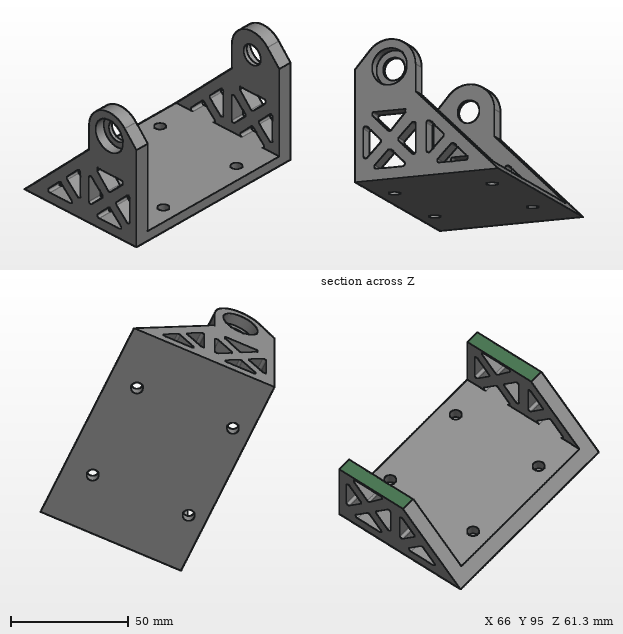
import cadquery as cq
import math

length = 66.0
width = 95.0
floor_thickness = 5.0
cheek_thickness = 7.0

lug_radius = 12.0
pivot_x = length - 16.0
pivot_z = 49.29
lug_left_x = pivot_x - lug_radius
shoulder_z = pivot_z - lug_radius
pivot_bore_diameter = 10.0
pivot_counterbore_diameter = 16.1
pivot_counterbore_depth = 5.0

mount_hole_diameter = 5.15
mount_hole_spacing = 45.0
mount_center_x = (floor_thickness + length) / 2

rib_width = 5.0
frame_margin = 4.0
window_fillet = 1.0
cross_half = 12.0
cross_x = length - frame_margin - cross_half
cross_z = floor_thickness + cross_half
rib_offset = rib_width / math.sqrt(2)
window_height = cross_half - rib_offset
front_window_shift = 2 * cross_half + rib_width
top_window_rise = 1.0
top_window_front_reach = 7.2
top_window_front_height = 1.5


def side_profile():
    """Bracket outline in the XZ plane, extruded across the full width."""
    tangent_angle = math.acos(lug_radius / (length - pivot_x))
    tangent_point = (
        pivot_x + lug_radius * math.cos(tangent_angle),
        pivot_z + lug_radius * math.sin(tangent_angle),
    )
    return (
        cq.Workplane("XZ", origin=(0, width / 2, 0))
        .moveTo(0, 0)
        .lineTo(length, 0)
        .lineTo(length, pivot_z)
        .lineTo(*tangent_point)
        .threePointArc((pivot_x, pivot_z + lug_radius), (lug_left_x, pivot_z))
        .lineTo(lug_left_x, shoulder_z)
        .close()
        .extrude(width)
    )


def space_between_cheeks():
    """Everything above the floor and between the two cheeks."""
    return cq.Workplane("XY", origin=(0, 0, floor_thickness)).rect(
        2 * length, width - 2 * cheek_thickness
    ).extrude(pivot_z + lug_radius)


def window_prism(points, rounded_edges="|Y"):
    """Polygonal cutter running through both cheeks, rounded on the selected edges."""
    return (
        cq.Workplane("XZ", origin=(0, width / 2, 0))
        .polyline(points)
        .close()
        .extrude(width)
        .edges(rounded_edges)
        .fillet(window_fillet)
    )


def side_window(base_x, direction):
    """Triangle with a vertical base at base_x; direction (+1 or -1) is where its tip points along X."""
    return window_prism(
        [
            (base_x, cross_z - window_height),
            (base_x, cross_z + window_height),
            (base_x + direction * window_height, cross_z),
        ]
    )


def bottom_window(center_x):
    """Triangle standing on the floor with its tip upward."""
    return window_prism(
        [
            (center_x - window_height, floor_thickness),
            (center_x + window_height, floor_thickness),
            (center_x, floor_thickness + window_height),
        ]
    )


def top_window():
    """Taller triangle with its tip downward; its front corner is cut off vertically and left sharp."""
    top_z = cross_z + cross_half + top_window_rise
    tip_z = cross_z + rib_offset
    half_base = top_z - tip_z
    front_x = cross_x - top_window_front_reach
    front_z = top_z - top_window_front_height
    return window_prism(
        [
            (front_x, front_z),
            (front_x, top_z),
            (cross_x + half_base, top_z),
            (cross_x, tip_z),
        ],
        "|Y and (not <X)",
    )


def truss_windows():
    rear_x = cross_x + cross_half
    return [
        side_window(cross_x - cross_half, 1),
        side_window(rear_x, -1),
        side_window(rear_x - front_window_shift, -1),
        bottom_window(cross_x),
        bottom_window(cross_x - front_window_shift),
        top_window(),
    ]


def pivot_cutter(side):
    """Stepped pivot bore of one cheek (side = +1 or -1 along Y), counterbored from the outer face."""
    outer_y = side * width / 2
    outer_face = cq.Workplane("XZ", origin=(pivot_x, outer_y, pivot_z))
    bore = outer_face.circle(pivot_bore_diameter / 2).extrude(side * cheek_thickness)
    counterbore = outer_face.circle(pivot_counterbore_diameter / 2).extrude(side * pivot_counterbore_depth)
    return bore.union(counterbore)


def mount_holes():
    return (
        cq.Workplane("XY", origin=(mount_center_x, 0, 0))
        .rarray(mount_hole_spacing, mount_hole_spacing, 2, 2)
        .circle(mount_hole_diameter / 2)
        .extrude(floor_thickness)
    )


bracket = side_profile().cut(space_between_cheeks()).cut(mount_holes())
for window in truss_windows():
    bracket = bracket.cut(window)
for cheek_side in (-1, 1):
    bracket = bracket.cut(pivot_cutter(cheek_side))

result = bracket